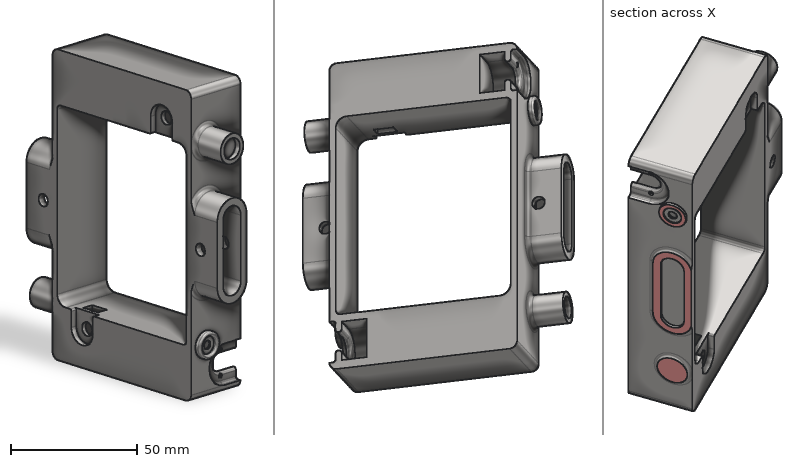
import cadquery as cq

HEIGHT = 129.7
OVERALL_WIDTH = 108.0
DEPTH = 27.5
BODY_WIDTH = 78.5
WINDOW_WIDTH = 73.0
WINDOW_HEIGHT = 83.7
CORNER_RADIUS = 3.1
WINDOW_LARGE_RADIUS = 4.5
WINDOW_SMALL_RADIUS = 2.0

BOSS_Y = 8.2
BOSS_LENGTH = (OVERALL_WIDTH - BODY_WIDTH) / 2
BOSS_ROOT_RADIUS = 2.0
OVAL_HEIGHT = 43.8
OVAL_RADIUS = BOSS_Y
OVAL_BORE_RADIUS = 4.9
PIN_HOLE_DIAMETER = 5.2
PIN_HOLE_X = -44.5
TUBE_RADIUS = 6.4
TUBE_BORE_RADIUS = 4.4
TUBE_BORE_DEPTH = 2.6
PORT_Z = 42.5

RING_RADIUS = 5.8
RING_HEIGHT = 2.3
RING_EDGE_RADIUS = 0.9
SOCKET_RADIUS = 3.8
SOCKET_DEPTH = 1.5
SOCKET_PILOT_RADIUS = 1.8

NOTCH_Y = 18.8
NOTCH_Z = 53.2
SEAT_RADIUS = 8.7
SEAT_DEPTH = 2.6
SEAT_FILLET = 1.2
LIP_THICKNESS = 2.6
LIP_EDGE_RADIUS = 1.2
SLOT_RADIUS = 3.9
UNDERCUT_RADIUS = 8.2
UNDERCUT_DEPTH = 10.4
DIMPLE_RADIUS = 0.9
DIMPLE_OFFSET = 5.5
DIMPLE_DEPTH = 1.0

SCREW_X = -22.5
SCREW_Z = -49.3
SCREW_SEAT_RADIUS = 6.1
SCREW_SEAT_DEPTH = 2.7
SEAT_MOUTH_RADIUS = 0.6
SCREW_HOLE_RADIUS = 2.9
NUT_WALL = 2.1
NUT_WIDTH = 8.3
NUT_THICKNESS = 4.9

WALL_X = -BODY_WIDTH / 2


def frame():
    body = (
        cq.Workplane("XY")
        .box(BODY_WIDTH, DEPTH, HEIGHT, centered=(True, False, True))
        .edges("|Y")
        .fillet(CORNER_RADIUS)
    )
    window = cq.Workplane("XY").box(WINDOW_WIDTH, DEPTH, WINDOW_HEIGHT, centered=(True, False, True))
    for side, end, radius in (
        ("<X", "<Z", WINDOW_LARGE_RADIUS),
        (">X", ">Z", WINDOW_LARGE_RADIUS),
        ("<X", ">Z", WINDOW_SMALL_RADIUS),
        (">X", "<Z", WINDOW_SMALL_RADIUS),
    ):
        window = window.faces(side).edges(end).fillet(radius)
    return body.cut(window)


def wall_plane(x, y, z):
    """Sketch plane facing out of the left wall: local x runs toward -Y, local y up."""
    return cq.Workplane(cq.Plane((x, y, z), (0, -1, 0), (-1, 0, 0)))


def upright_oval(radius, length):
    """Oval prism on the left wall; every radius keeps the same pair of arc centres."""
    total_height = OVAL_HEIGHT - 2 * OVAL_RADIUS + 2 * radius
    return wall_plane(WALL_X, BOSS_Y, 0).slot2D(total_height, 2 * radius, 90).extrude(length)


def rooted(boss):
    """Blend a boss into the left wall and trim the blend at the front face."""
    wall_thickness = (BODY_WIDTH - WINDOW_WIDTH) / 2
    wall = (
        cq.Workplane("XY")
        .box(wall_thickness, 2 * DEPTH, HEIGHT - 2 * CORNER_RADIUS, centered=(False, True, True))
        .translate((WALL_X, 0, 0))
    )
    blended = wall.union(boss)
    root = blended.faces(cq.selectors.NearestToPointSelector((WALL_X, 0, 0))).val().innerWires()[0]
    blended = blended.newObject(root.Edges()).fillet(BOSS_ROOT_RADIUS)
    keep = cq.Workplane("XY").box(OVERALL_WIDTH, DEPTH, HEIGHT, centered=(True, False, True))
    return blended.intersect(keep)


def socket_ring():
    base = wall_plane(WALL_X, BOSS_Y, PORT_Z)
    mouth = base.workplane(offset=RING_HEIGHT)
    ring = base.circle(RING_RADIUS).extrude(RING_HEIGHT)
    ring = ring.cut(mouth.circle(SOCKET_RADIUS).extrude(-SOCKET_DEPTH))
    ring = ring.faces("<X").edges().fillet(RING_EDGE_RADIUS)
    return ring.cut(base.circle(SOCKET_PILOT_RADIUS).extrude(RING_HEIGHT))


def side_bosses():
    oval = rooted(upright_oval(OVAL_RADIUS, BOSS_LENGTH))
    oval = oval.cut(upright_oval(OVAL_BORE_RADIUS, BOSS_LENGTH))
    pin_hole = (
        cq.Workplane("XZ", origin=(PIN_HOLE_X, 0, 0))
        .circle(PIN_HOLE_DIAMETER / 2)
        .extrude(-DEPTH)
    )
    tube_plane = wall_plane(WALL_X, BOSS_Y, -PORT_Z)
    tube = rooted(tube_plane.circle(TUBE_RADIUS).extrude(BOSS_LENGTH))
    tube = tube.cut(
        tube_plane.workplane(offset=BOSS_LENGTH).circle(TUBE_BORE_RADIUS).extrude(-TUBE_BORE_DEPTH)
    )
    return oval.cut(pin_hole).union(tube).union(socket_ring())


def notch_prism(radius, start, depth):
    """U-shaped prism starting at a given distance inside the left wall, open toward the back."""
    back = NOTCH_Y - 2 * DEPTH
    return (
        wall_plane(WALL_X + start, NOTCH_Y, NOTCH_Z)
        .moveTo(back, radius)
        .lineTo(0, radius)
        .threePointArc((radius, 0), (0, -radius))
        .lineTo(back, -radius)
        .close()
        .extrude(-depth)
    )


def cable_notch():
    seat = notch_prism(SEAT_RADIUS, 0, SEAT_DEPTH).faces(">X").edges("not(>Y)").fillet(SEAT_FILLET)
    lip = (
        notch_prism(2 * UNDERCUT_RADIUS, SEAT_DEPTH, LIP_THICKNESS)
        .cut(notch_prism(SLOT_RADIUS, SEAT_DEPTH, LIP_THICKNESS))
    )
    undercut = notch_prism(UNDERCUT_RADIUS, SEAT_DEPTH, LIP_THICKNESS + UNDERCUT_DEPTH)
    reach = (SLOT_RADIUS + UNDERCUT_RADIUS) / 2
    slot_edges = cq.selectors.BoxSelector(
        (WALL_X, NOTCH_Y - reach, NOTCH_Z - reach),
        (0, 2 * DEPTH, NOTCH_Z + reach),
    )
    lip = lip.edges(slot_edges).edges("not(|X)").fillet(LIP_EDGE_RADIUS)
    dimples = (
        wall_plane(WALL_X + SEAT_DEPTH, NOTCH_Y, NOTCH_Z)
        .pushPoints([(0, DIMPLE_OFFSET), (0, -DIMPLE_OFFSET)])
        .circle(DIMPLE_RADIUS)
        .extrude(-DIMPLE_DEPTH)
    )
    return seat.union(undercut.cut(lip)).union(dimples)


def screw_seat():
    """U-shaped seat with flared mouth, its screw hole and the nut pocket, all open to the window."""
    mouth_z = -WINDOW_HEIGHT / 2 - SCREW_Z
    mouth_start = mouth_z - SEAT_MOUTH_RADIUS
    half_width = SCREW_SEAT_RADIUS
    half_mouth = half_width + SEAT_MOUTH_RADIUS
    front = cq.Workplane("XZ", origin=(SCREW_X, 0, SCREW_Z))
    seat = (
        front.moveTo(-half_width, 0)
        .threePointArc((0, -half_width), (half_width, 0))
        .lineTo(half_width, mouth_start)
        .radiusArc((half_mouth, mouth_z), SEAT_MOUTH_RADIUS)
        .lineTo(-half_mouth, mouth_z)
        .radiusArc((-half_width, mouth_start), SEAT_MOUTH_RADIUS)
        .close()
        .extrude(-SCREW_SEAT_DEPTH)
    )
    nut_front = SCREW_SEAT_DEPTH + NUT_WALL
    hole = front.circle(SCREW_HOLE_RADIUS).extrude(-nut_front - NUT_THICKNESS)
    nut = (
        cq.Workplane("XY")
        .box(NUT_WIDTH, NUT_THICKNESS, NUT_WIDTH / 2 + mouth_z, centered=(True, False, False))
        .translate((SCREW_X, nut_front, SCREW_Z - NUT_WIDTH / 2))
    )
    return seat.union(hole).union(nut)


bosses = side_bosses()
cuts = [cable_notch(), screw_seat()]

result = frame()
for turn in (0, 180):
    result = result.union(bosses.rotate((0, 0, 0), (0, 1, 0), turn))
    for cut in cuts:
        result = result.cut(cut.rotate((0, 0, 0), (0, 1, 0), turn))